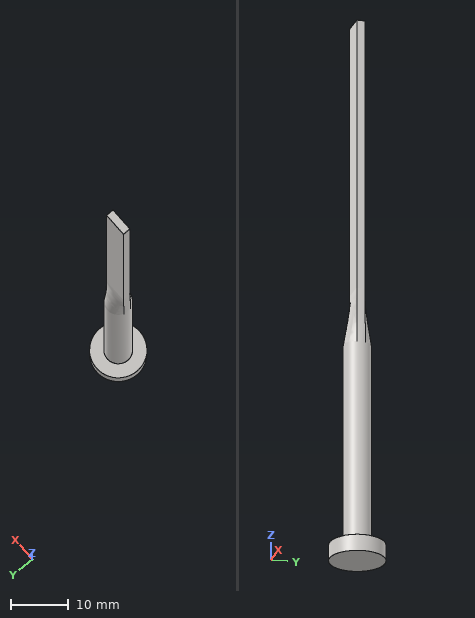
import cadquery as cq
import math

total_length = 100.0
head_diameter = 10.0
head_height = 3.0
shank_diameter = 5.0
shank_top = 40.0
blade_bottom = 50.0
blade_width = 4.5
blade_thickness = 1.5

shank_radius = shank_diameter / 2
half_width = blade_width / 2
half_thickness = blade_thickness / 2


def make_transition():
    """Blend the round shank into the blade, keeping the narrow sides one blade thickness wide."""
    split_x = math.sqrt(shank_radius**2 - half_thickness**2)
    return (
        cq.Workplane("XY")
        .workplane(offset=shank_top)
        .moveTo(split_x, -half_thickness)
        .threePointArc((shank_radius, 0), (split_x, half_thickness))
        .threePointArc((0, shank_radius), (-split_x, half_thickness))
        .threePointArc((-shank_radius, 0), (-split_x, -half_thickness))
        .threePointArc((0, -shank_radius), (split_x, -half_thickness))
        .close()
        .workplane(offset=blade_bottom - shank_top)
        .moveTo(half_width, -half_thickness)
        .lineTo(half_width, half_thickness)
        .lineTo(-half_width, half_thickness)
        .lineTo(-half_width, -half_thickness)
        .close()
        .loft(ruled=True, combine=True)
    )


head = cq.Workplane("XY").circle(head_diameter / 2).extrude(head_height)
shank = cq.Workplane("XY").circle(shank_radius).extrude(shank_top)
blade = (
    cq.Workplane("XY")
    .workplane(offset=blade_bottom)
    .rect(blade_width, blade_thickness)
    .extrude(total_length - blade_bottom)
)

result = head.union(shank).union(make_transition()).union(blade)